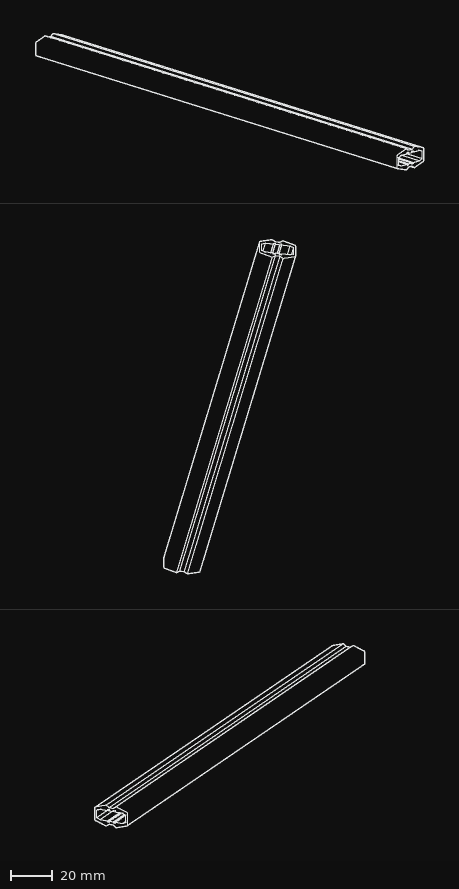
import cadquery as cq

length = 250.0
width = 17.8
height = 10.8

side_height = 6.8
ridge_offset = 2.62
groove_floor_half_width = 1.12
groove_floor_height = 4.2

wall = 1.12
core_side_height = 3.8
core_height = 5.2
core_flat_half_width = 6.0

notch_inner = 1.12
notch_outer = 2.0
notch_depth = 0.5

corner_radius = 1.0


def symmetric_section(quarter_points):
    """Mirror points in the +Y +Z quarter, listed from the side inward, into a prism."""
    upper = quarter_points + [(-y, z) for y, z in reversed(quarter_points)]
    lower = [(y, -z) for y, z in reversed(upper)]
    outline = cq.Workplane("YZ").polyline(upper + lower).close()
    return outline.extrude(length / 2, both=True)


body = symmetric_section([
    (width / 2, side_height / 2),
    (ridge_offset, height / 2),
    (groove_floor_half_width, groove_floor_height),
])

body = body.faces("<Y or >Y").edges("|X").fillet(corner_radius)

core = symmetric_section([
    (width / 2 - wall, core_side_height / 2),
    (core_flat_half_width, core_height / 2),
    (notch_outer, core_height / 2),
    (notch_outer, core_height / 2 + notch_depth),
    (notch_inner, core_height / 2 + notch_depth),
    (notch_inner, core_height / 2),
])

result = body.cut(core)